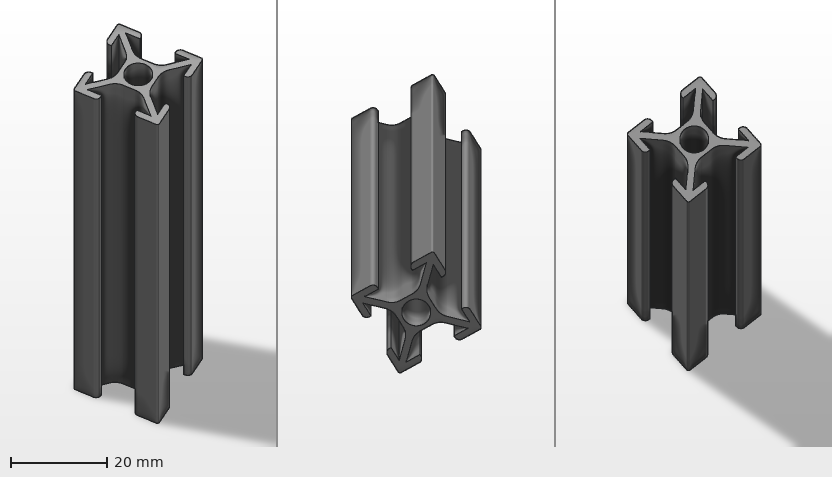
import cadquery as cq
import math

length = 100.0
width = 20.0
corner_radius = 0.5
bore_diameter = 6.0

slot_opening = 8.2
lip_thickness = 1.5
lip_radius = 1.1
core_width = 8.0
web_thickness = 1.5
core_fillet_radius = 3.7

half_width = width / 2
half_opening = slot_opening / 2
half_core = core_width / 2
lip_inner = half_width - lip_thickness
cut_margin = 1.0

flank_offset = web_thickness / math.sqrt(2)
slot_half_width = lip_inner - flank_offset
floor_corner = half_core - flank_offset

half_turn = math.radians(45) / 2
fillet_tangent = core_fillet_radius * math.tan(half_turn)
floor_end = floor_corner - fillet_tangent
flank_end = floor_corner + fillet_tangent / math.sqrt(2)
flank_end_height = flank_end + flank_offset
arc_middle = floor_end + core_fillet_radius * math.sin(half_turn)
arc_middle_height = half_core + core_fillet_radius * (1 - math.cos(half_turn))


def make_slot():
    """Full-length cutter for the T-slot on the +Y side."""
    return (
        cq.Workplane("XY")
        .moveTo(-floor_end, half_core)
        .lineTo(floor_end, half_core)
        .threePointArc((arc_middle, arc_middle_height), (flank_end, flank_end_height))
        .lineTo(slot_half_width, lip_inner)
        .lineTo(half_opening, lip_inner)
        .lineTo(half_opening, half_width + cut_margin)
        .lineTo(-half_opening, half_width + cut_margin)
        .lineTo(-half_opening, lip_inner)
        .lineTo(-slot_half_width, lip_inner)
        .lineTo(-flank_end, flank_end_height)
        .threePointArc((-arc_middle, arc_middle_height), (-floor_end, half_core))
        .close()
        .extrude(length)
    )


def edge_at(x, y):
    """Selector for the full-length vertical edge at a cross-section point."""
    reach = 0.1
    return cq.selectors.BoxSelector(
        (x - reach, y - reach, 0), (x + reach, y + reach, length)
    )


body = cq.Workplane("XY").rect(width, width).extrude(length)
body = body.edges("|Z").fillet(corner_radius)

for side in range(4):
    body = body.cut(make_slot().rotate((0, 0, 0), (0, 0, 1), 90 * side))

for side in (-half_width, half_width):
    for edge in (-half_opening, half_opening):
        body = body.edges(edge_at(edge, side)).fillet(lip_radius)
        body = body.edges(edge_at(side, edge)).fillet(lip_radius)

bore = cq.Workplane("XY").circle(bore_diameter / 2).extrude(length)
result = body.cut(bore)